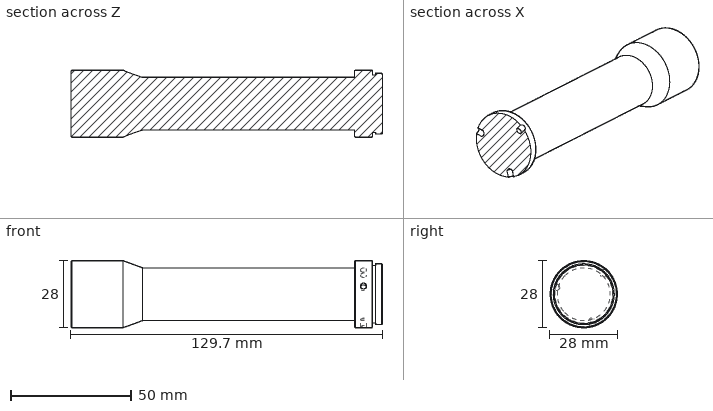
import cadquery as cq
import math

overall_length = 129.7
head_length = 21.7
taper_length = 8.2
collar_length = 7.65
relief_length = 1.15
spigot_length = 3.0
spigot_start = overall_length - spigot_length
collar_end = spigot_start - relief_length
collar_start = collar_end - collar_length

head_radius = 14.0
barrel_radius = 11.0
collar_radius = head_radius
relief_radius = 12.0
spigot_radius = 12.7

head_chamfer = 0.5
collar_chamfer = 0.4
spigot_chamfer = 0.5

screw_hole_count = 3
screw_hole_diameter = 2.5
screw_hole_depth = 3.0
first_screw_hole_angle = 45.8
drill_point_angle = 118.0


def make_body():
    """Solid of revolution: head, taper, barrel, collar, relief groove and spigot."""
    taper_end = head_length + taper_length
    profile = [
        (0, 0),
        (0, head_radius - head_chamfer),
        (head_chamfer, head_radius),
        (head_length, head_radius),
        (taper_end, barrel_radius),
        (collar_start, barrel_radius),
        (collar_start, collar_radius - collar_chamfer),
        (collar_start + collar_chamfer, collar_radius),
        (collar_end - collar_chamfer, collar_radius),
        (collar_end, collar_radius - collar_chamfer),
        (collar_end, relief_radius),
        (spigot_start, relief_radius),
        (spigot_start, spigot_radius),
        (overall_length - spigot_chamfer, spigot_radius),
        (overall_length, spigot_radius - spigot_chamfer),
        (overall_length, 0),
    ]
    return cq.Workplane("XZ").polyline(profile).close().revolve(360, (0, 0), (1, 0))


def make_screw_hole(angle):
    """Drilled hole with a conical bottom, pointing at the axis at the given angle."""
    hole_radius = screw_hole_diameter / 2
    floor = collar_radius - screw_hole_depth
    tip = floor - hole_radius / math.tan(math.radians(drill_point_angle / 2))
    outside = collar_radius + screw_hole_depth
    profile = [(0, tip), (hole_radius, floor), (hole_radius, outside), (0, outside)]
    drill = cq.Workplane("XY").polyline(profile).close().revolve(360, (0, 0), (0, 1))
    hole_x = (collar_start + collar_end) / 2
    return drill.translate((hole_x, 0, 0)).rotate((0, 0, 0), (1, 0, 0), angle)


result = make_body()
for index in range(screw_hole_count):
    hole_angle = first_screw_hole_angle + index * 360.0 / screw_hole_count
    result = result.cut(make_screw_hole(hole_angle))